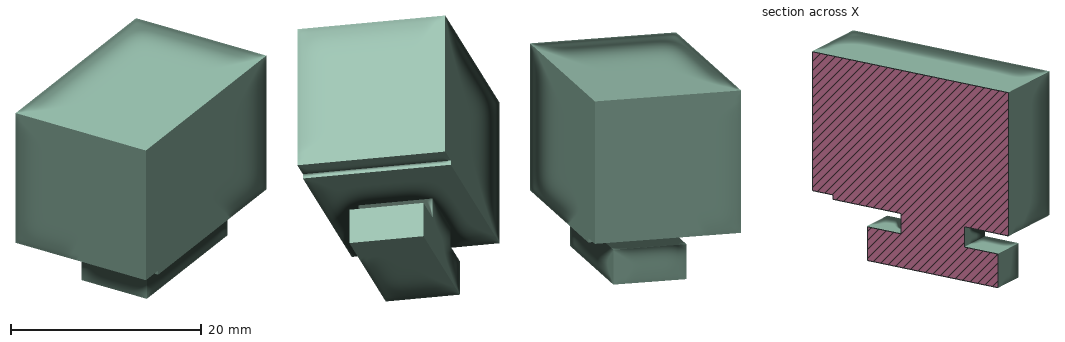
import cadquery as cq

body_length = 24.5
body_width = 16.0
body_height = 16.0

step_length = 2.5
step_height = 0.5

total_height = 22.0
foot_height = 3.8
foot_length = 16.4
stem_length = 8.0
stem_width = 8.0
foot_center_y = 2.75
stem_height = total_height - body_height - foot_height


def block_below(top_z, width, length, height, center_y):
    """Block centred on X whose top face lies at top_z."""
    return (
        cq.Workplane("XY", origin=(0, center_y, top_z))
        .box(width, length, height, centered=(True, True, False))
        .translate((0, 0, -height))
    )


body = block_below(body_height, body_width, body_length, body_height, 0)

step_center_y = (step_length - body_length) / 2
step = block_below(step_height, body_width, step_length, step_height, step_center_y)

stem = block_below(0, stem_width, stem_length, stem_height, foot_center_y)
foot = block_below(-stem_height, stem_width, foot_length, foot_height, foot_center_y)

result = body.cut(step).union(stem).union(foot)